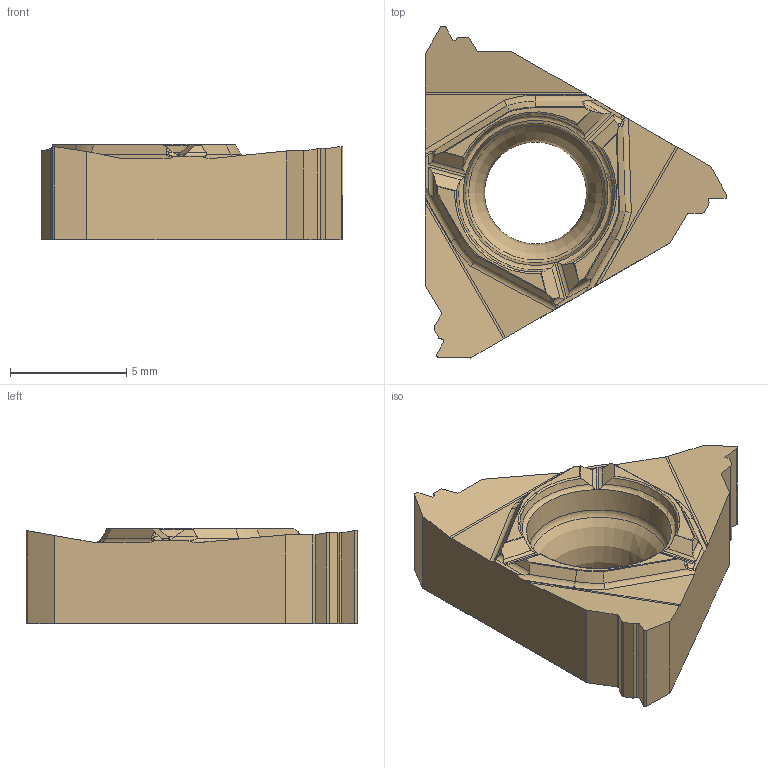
import cadquery as cq
import math

inscribed_radius = 9.525 / 2
total_height = 4.1
floor_height = 3.5
side_azimuths = (180, 60, -60)
third = 120
third_turns = (0, third, 2 * third)
overlap = 0.2
reach = 10.0

blunt_tip_radius = 0.14
sharp_tip_radius = 0.085
notch_radius = 0.07
shoulder_radius = 0.17

rake_start = 4.24
rake_blend_width = 0.10
rake_angle = math.radians(10)
rake_azimuth = 90

boss_wall_angle = math.radians(30)
boss_foot_radius = 0.3
boss_edge_round = 0.04
boss_corner_round = 0.15
boss_long_distance, boss_long_azimuth = 3.69, 90
boss_short_distance, boss_short_azimuth = 3.58, 121.7
boss_edge_distance, boss_edge_azimuth = 4.26, 60
edge_wall_angle = math.radians(20)
edge_foot_radius = 0.25
ledge_height = 3.6

groove_azimuth = 45
groove_offset = 0.07
groove_flat_half_width = 0.05
groove_radius = 0.27
groove_wall_angle = math.radians(40)
groove_inner_end = 2.0

hole_radius = 2.19
rim_radius = 3.49
rim_round = 0.08
collar_angle = math.radians(17)
ledge_fillet = 0.21
bore_bottom_radius = 3.02
bore_bottom_height = 2.6
seat_start_radius = 2.89
seat_start_height = 2.3
seat_start_angle = math.radians(45)


def polar(azimuth, distance, along=0.0):
    """Point at a distance from the axis in one direction, shifted sideways counterclockwise."""
    angle = math.radians(azimuth)
    x = distance * math.cos(angle) - along * math.sin(angle)
    y = distance * math.sin(angle) + along * math.cos(angle)
    return (x, y)


def radial_plane(azimuth):
    """Plane whose local x points outward along the azimuth and whose local y is Z."""
    normal = polar(azimuth - 90, 1.0) + (0,)
    return cq.Plane(origin=(0, 0, 0), xDir=polar(azimuth, 1.0) + (0,), normal=normal)


def make_blank():
    """Insert outline with its three different tooth corners, at full height."""
    left, upper, lower = side_azimuths
    top_tooth = [
        polar(left, inscribed_radius, -5.97),
        (-4.06, 7.19), (-3.89, 7.19), (-3.56, 6.57), (-3.44, 6.57),
        (-3.36, 6.71), (-2.87, 6.71), (-2.50, 6.09),
        polar(upper, inscribed_radius, 3.93),
    ]
    right_tooth = [
        polar(upper, inscribed_radius, -5.97),
        (8.31, -0.23), (7.44, -0.23), (7.44, -0.38),
        (7.50, -0.43), (7.24, -0.88), (6.56, -0.88),
        polar(lower, inscribed_radius, 3.96),
    ]
    lower_left_tooth = [
        polar(lower, inscribed_radius, -5.97),
        (-4.32, -7.09), (-3.92, -6.34), (-4.17, -6.25),
        (-4.37, -5.89), (-4.37, -5.76), (-4.06, -5.26), (-4.06, -5.17),
        polar(left, inscribed_radius, 4.00),
    ]
    outline = top_tooth + right_tooth + lower_left_tooth
    blank = cq.Workplane("XY").polyline(outline).close().extrude(total_height)
    rounded_corners = (
        (top_tooth[1], blunt_tip_radius),
        (top_tooth[2], blunt_tip_radius),
        (right_tooth[1], sharp_tip_radius),
        (right_tooth[5], shoulder_radius),
        (lower_left_tooth[1], sharp_tip_radius),
        (lower_left_tooth[2], notch_radius),
    )
    middle_height = total_height / 2
    for (x, y), radius in rounded_corners:
        corner_edge = cq.NearestToPointSelector((x, y, middle_height))
        blank = blank.edges(corner_edge).fillet(radius)
    return blank


def make_rake_space(azimuth):
    """Space above the floor and above one corner's rake face, in one long profile."""
    blend_end = rake_start + rake_blend_width
    blend_middle = rake_start + rake_blend_width / 2
    blend_radius = rake_blend_width / math.sin(rake_angle)
    blend_rise = blend_radius * (1 - math.cos(rake_angle))
    arc_x = rake_start + blend_radius * math.sin(rake_angle / 2)
    arc_z = floor_height + blend_radius * (1 - math.cos(rake_angle / 2))
    end_height = floor_height + (reach - blend_middle) * math.tan(rake_angle)
    return (
        cq.Workplane(radial_plane(azimuth))
        .moveTo(-reach, floor_height)
        .lineTo(rake_start, floor_height)
        .threePointArc((arc_x, arc_z), (blend_end, floor_height + blend_rise))
        .lineTo(reach, end_height)
        .lineTo(reach, total_height + overlap)
        .lineTo(-reach, total_height + overlap)
        .close()
        .extrude(reach, both=True)
    )


def flare_profile(plane, wall_distance, inner_end, foot_height, wall_angle, foot_radius):
    """Closed section of the boss from inner_end out to its sloped wall and rounded foot."""
    wall_slope = math.tan(wall_angle)
    turn = math.pi / 2 - wall_angle
    fillet_height = foot_height + foot_radius * (1 - math.cos(turn))
    fillet_start = wall_distance + (total_height - fillet_height) * wall_slope
    foot_end = fillet_start + foot_radius * math.sin(turn)
    arc_x = foot_end - foot_radius * math.sin(turn / 2)
    arc_z = foot_height + foot_radius * (1 - math.cos(turn / 2))
    return (
        cq.Workplane(plane)
        .moveTo(inner_end, total_height)
        .lineTo(wall_distance, total_height)
        .lineTo(fillet_start, fillet_height)
        .threePointArc((arc_x, arc_z), (foot_end, foot_height))
        .lineTo(foot_end, floor_height - overlap)
        .lineTo(inner_end, floor_height - overlap)
        .close()
    )


def make_main_wall(azimuth, wall_distance):
    """Straight boss wall with its foot fillet on the floor, solid on the side of the axis."""
    plane = radial_plane(azimuth)
    section = flare_profile(plane, wall_distance, -reach, floor_height, boss_wall_angle, boss_foot_radius)
    return section.extrude(reach, both=True)


def make_corner_trim():
    """Cutter that turns the corner between a long and a short boss wall into a cone."""
    plane = cq.Plane.XZ()
    sector = (
        cq.Workplane("XY", origin=(0, 0, floor_height - 2 * overlap))
        .polyline([(0, 0), polar(boss_long_azimuth, reach), polar(boss_short_azimuth, reach)])
        .close()
        .extrude(total_height - floor_height + 3 * overlap)
    )
    section = flare_profile(plane, boss_long_distance, 0, floor_height, boss_wall_angle, boss_foot_radius)
    return sector.cut(section.revolve(360, (0, 0), (0, 1)))


def make_edge_trim(azimuth):
    """Cutter that leaves a land and a sloped wall along one side of the insert."""
    plane = radial_plane(azimuth)
    block = (
        cq.Workplane(plane)
        .moveTo(0, ledge_height)
        .lineTo(reach, ledge_height)
        .lineTo(reach, total_height + overlap)
        .lineTo(0, total_height + overlap)
        .close()
        .extrude(reach, both=True)
    )
    section = flare_profile(
        plane, boss_edge_distance, -reach, ledge_height, edge_wall_angle, edge_foot_radius
    )
    return block.cut(section.extrude(reach, both=True))


def make_groove(azimuth):
    """Flat-bottomed V groove running outward across the boss."""
    sine = math.sin(groove_wall_angle)
    blend_end = groove_flat_half_width + groove_radius * sine
    blend_height = ledge_height + groove_radius * (1 - math.cos(groove_wall_angle))
    arc_x = groove_flat_half_width + groove_radius * math.sin(groove_wall_angle / 2)
    arc_z = ledge_height + groove_radius * (1 - math.cos(groove_wall_angle / 2))
    top = total_height + overlap
    top_half_width = blend_end + (top - blend_height) / math.tan(groove_wall_angle)
    origin = polar(azimuth, groove_inner_end, groove_offset) + (0,)
    plane = cq.Plane(origin=origin, xDir=polar(azimuth + 90, 1.0) + (0,), normal=polar(azimuth, 1.0) + (0,))
    return (
        cq.Workplane(plane)
        .moveTo(-groove_flat_half_width, ledge_height)
        .lineTo(groove_flat_half_width, ledge_height)
        .threePointArc((arc_x, arc_z), (blend_end, blend_height))
        .lineTo(top_half_width, top)
        .lineTo(-top_half_width, top)
        .lineTo(-blend_end, blend_height)
        .threePointArc((-arc_x, arc_z), (-groove_flat_half_width, ledge_height))
        .close()
        .extrude(reach - groove_inner_end)
    )


def short_wall_corner(turn):
    """Point halfway up the corner where a short boss wall meets an edge wall."""
    short_azimuth = boss_short_azimuth - third
    height = (ledge_height + total_height) / 2
    drop = total_height - height
    edge_distance = boss_edge_distance + drop * math.tan(edge_wall_angle)
    short_distance = boss_short_distance + drop * math.tan(boss_wall_angle)
    angle = math.radians(boss_edge_azimuth - short_azimuth)
    along = (edge_distance - short_distance * math.cos(angle)) / math.sin(angle)
    return polar(short_azimuth + turn, short_distance, along) + (height,)


def make_boss():
    """Six-walled boss with three coned corners, three edge walls and three grooves."""
    boss = make_main_wall(boss_long_azimuth, boss_long_distance)
    for turn in third_turns:
        boss = boss.intersect(make_main_wall(boss_long_azimuth + turn, boss_long_distance))
        boss = boss.intersect(make_main_wall(boss_short_azimuth + turn, boss_short_distance))
    corner_trim = make_corner_trim()
    for turn in third_turns:
        boss = boss.cut(corner_trim.rotate((0, 0, 0), (0, 0, 1), turn))
        boss = boss.cut(make_edge_trim(boss_edge_azimuth + turn))
        boss = boss.cut(make_groove(groove_azimuth + turn))
    for turn in third_turns:
        corner_edge = cq.NearestToPointSelector(short_wall_corner(turn))
        boss = boss.edges(corner_edge).fillet(boss_corner_round)
    return boss.faces(">Z").edges().fillet(boss_edge_round)


def make_hole():
    """Collar, bore and rounded screw seat, turned about the axis as one cutter."""
    cosine = math.cos(collar_angle)
    sine = math.sin(collar_angle)
    half_turn = (math.pi / 2 - collar_angle) / 2
    rim_end_radius = rim_radius - rim_round * cosine
    rim_end_height = total_height - rim_round * (1 - sine)
    rim_arc = (
        rim_radius - rim_round * math.sin(half_turn),
        total_height - rim_round * (1 - math.cos(half_turn)),
    )
    fillet_top = ledge_height + ledge_fillet * (1 - sine)
    fillet_outer = rim_end_radius - (rim_end_height - fillet_top) * math.tan(collar_angle)
    fillet_inner = fillet_outer - ledge_fillet * cosine
    fillet_arc = (
        fillet_inner + ledge_fillet * math.sin(half_turn),
        ledge_height + ledge_fillet * (1 - math.cos(half_turn)),
    )
    seat_radius = (seat_start_radius - hole_radius) / (1 - math.cos(seat_start_angle))
    throat_height = seat_start_height - seat_radius * math.sin(seat_start_angle)
    seat_bottom_angle = math.asin(throat_height / seat_radius)
    seat_bottom_radius = hole_radius + seat_radius * (1 - math.cos(seat_bottom_angle))
    return (
        cq.Workplane("XZ")
        .moveTo(0, 0)
        .lineTo(seat_bottom_radius, 0)
        .threePointArc((hole_radius, throat_height), (seat_start_radius, seat_start_height))
        .tangentArcPoint((bore_bottom_radius, bore_bottom_height), relative=False)
        .lineTo(fillet_inner, ledge_height)
        .threePointArc(fillet_arc, (fillet_outer, fillet_top))
        .lineTo(rim_end_radius, rim_end_height)
        .threePointArc(rim_arc, (rim_radius, total_height))
        .lineTo(rim_radius, total_height + overlap)
        .lineTo(0, total_height + overlap)
        .close()
        .revolve(360, (0, 0), (0, 1))
    )


blank = make_blank()
space_above = make_rake_space(rake_azimuth)
for turn in third_turns[1:]:
    space_above = space_above.intersect(make_rake_space(rake_azimuth + turn))
body = blank.cut(space_above)
boss = make_boss().intersect(blank)
result = body.union(boss).cut(make_hole())